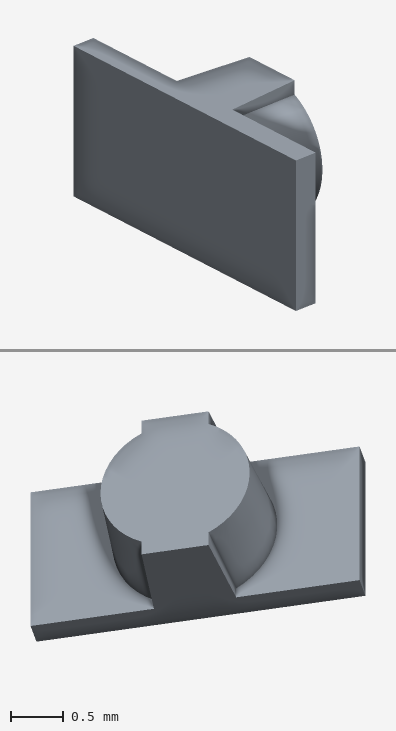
import cadquery as cq
import math

LENGTH = 3.2
HEIGHT = 1.6
PLATE_DEPTH = 0.25
MASK_DEPTH = 0.0015

MASK_HALF_LENGTH = 1.382
MASK_WAIST_HALF_LENGTH = 1.0
MASK_TAB_HEIGHT = 0.15

MARK_HEAD_LEFT = -0.775
MARK_HEAD_RIGHT = 0.15
MARK_STEM_RIGHT = 0.735
MARK_HEAD_HEIGHT = 1.0
MARK_STEM_HEIGHT = 0.397

LENS_DEPTH = 0.85
LENS_DRAFT = 5.0
LENS_DIAMETER = HEIGHT
RIB_WIDTH = 0.8


def front_block(width, height, depth, center_x=0.0):
    """Block starting at the front face and running back, centred on z = 0."""
    return cq.Workplane("XZ").center(center_x, 0).rect(width, height).extrude(-depth)


def make_polarity_mark():
    head_width = MARK_HEAD_RIGHT - MARK_HEAD_LEFT
    head_center = (MARK_HEAD_RIGHT + MARK_HEAD_LEFT) / 2
    head = front_block(head_width, MARK_HEAD_HEIGHT, MASK_DEPTH, head_center)

    full_width = MARK_STEM_RIGHT - MARK_HEAD_LEFT
    full_center = (MARK_STEM_RIGHT + MARK_HEAD_LEFT) / 2
    stem = front_block(full_width, MARK_STEM_HEIGHT, MASK_DEPTH, full_center)
    return head.union(stem)


def make_solder_mask():
    mask = front_block(2 * MASK_WAIST_HALF_LENGTH, HEIGHT, MASK_DEPTH)
    tab_center_z = (HEIGHT - MASK_TAB_HEIGHT) / 2
    for side in (-1, 1):
        tabs = front_block(2 * MASK_HALF_LENGTH, MASK_TAB_HEIGHT, MASK_DEPTH)
        mask = mask.union(tabs.translate((0, 0, side * tab_center_z)))
    return mask.cut(make_polarity_mark())


def make_board(mask):
    """Board whose pads and polarity mark stand flush with the mask around them."""
    return front_block(LENGTH, HEIGHT, PLATE_DEPTH).cut(mask)


def make_lens():
    barrel = (
        cq.Workplane("XZ", origin=(0, PLATE_DEPTH, 0))
        .circle(LENS_DIAMETER / 2)
        .extrude(-LENS_DEPTH, taper=LENS_DRAFT)
    )
    back_y = PLATE_DEPTH + LENS_DEPTH
    base_half = RIB_WIDTH / 2
    tip_half = base_half - LENS_DEPTH * math.tan(math.radians(LENS_DRAFT))
    rib = (
        cq.Workplane("XY")
        .moveTo(-base_half, PLATE_DEPTH)
        .lineTo(base_half, PLATE_DEPTH)
        .lineTo(tip_half, back_y)
        .lineTo(-tip_half, back_y)
        .close()
        .extrude(HEIGHT / 2, both=True)
    )
    return barrel.union(rib)


solder_mask = make_solder_mask()
board = make_board(solder_mask)
lens = make_lens()

result = cq.Compound.makeCompound([solder_mask.val(), board.val(), lens.val()])